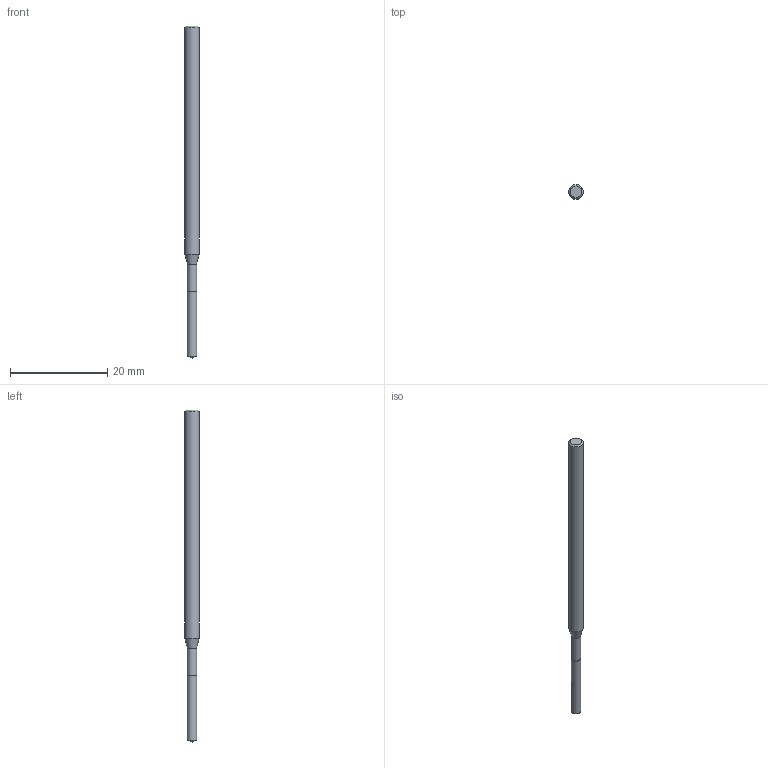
import cadquery as cq
import math

overall_length = 68.35

head_diameter = 1.9
point_angle = 140.0
head_length = 13.65

shank_diameter = 3.0
neck_end = 19.35
taper_half_angle = 15.0
chamfer_width = 0.3
chamfer_height = 0.3

head_radius = head_diameter / 2
shank_radius = shank_diameter / 2
point_height = head_radius / math.tan(math.radians(point_angle / 2))
taper_length = (shank_radius - head_radius) / math.tan(math.radians(taper_half_angle))
taper_end = neck_end + taper_length


def revolve_about_z(outline):
    """Turn a closed (y, z) outline on the -Y side about the Z axis."""
    return cq.Workplane("YZ").polyline(outline).close().revolve(360, (0, 0), (0, 1))


def make_cutting_head():
    """Plain cylinder with a conical drill point."""
    return revolve_about_z([
        (0, 0),
        (-head_radius, point_height),
        (-head_radius, head_length),
        (0, head_length),
    ])


def make_shank():
    """Neck, taper and chamfered cylinder, resting on the flat end of the cutting head."""
    return revolve_about_z([
        (0, head_length),
        (-head_radius, head_length),
        (-head_radius, neck_end),
        (-shank_radius, taper_end),
        (-shank_radius, overall_length - chamfer_height),
        (-shank_radius + chamfer_width, overall_length),
        (0, overall_length),
    ])


cutting_head = make_cutting_head()
shank = make_shank()

result = cq.Compound.makeCompound([cutting_head.val(), shank.val()])